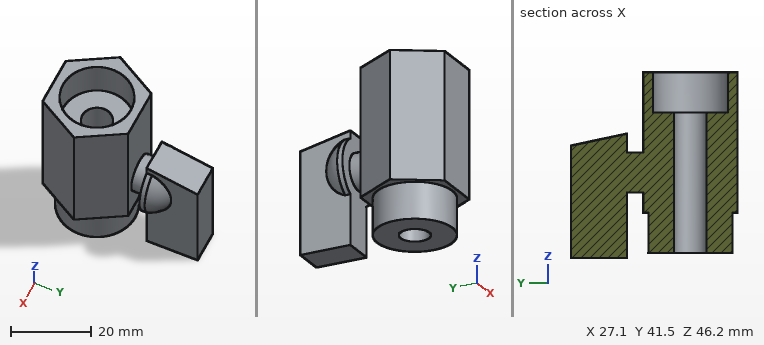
import cadquery as cq
import math

hex_corners = 27.15
hex_flat_radius = hex_corners / 2 * math.cos(math.pi / 6)
hex_height = 35.0

spigot_diameter = 21.0
spigot_height = 10.0

socket_diameter = 18.6
socket_depth = 10.0
passage_diameter = 8.0

overall_depth = 41.5
overall_height = 46.25
lever_width = 8.95
lever_thickness = 14.0
lever_near_height = 31
lever_far_height = 28.0
lever_far_y = overall_depth - hex_flat_radius
lever_near_y = lever_far_y - lever_thickness
spigot_bottom_z = -spigot_height
body_top_z = hex_height
lever_bottom_z = body_top_z - overall_height

stem_diameter = 10.0
stem_axis_z = 10.05
knob_radius = 8.8
knob_rim = 1.5
knob_length = 7.9


def make_body():
    body = cq.Workplane("XY").polygon(6, hex_corners).extrude(hex_height)
    spigot = cq.Workplane("XY").circle(spigot_diameter / 2).extrude(-spigot_height)
    return body.union(spigot)


def make_lever():
    profile = [
        (lever_near_y, lever_bottom_z),
        (lever_far_y, lever_bottom_z),
        (lever_far_y, lever_bottom_z + lever_far_height),
        (lever_near_y, lever_bottom_z + lever_near_height),
    ]
    return cq.Workplane("YZ").polyline(profile).close().extrude(lever_width / 2, both=True)


def make_stem():
    start_y = (passage_diameter / 2 + hex_flat_radius) / 2
    plane = cq.Workplane("XZ", origin=(0, start_y, stem_axis_z))
    return plane.circle(stem_diameter / 2).extrude(start_y - lever_near_y)


def make_knob():
    dome_height = knob_length - knob_rim
    dome_radius = (knob_radius**2 + dome_height**2) / (2 * dome_height)
    mid_radius = knob_radius / 2
    mid_y = knob_length - dome_radius + math.sqrt(dome_radius**2 - mid_radius**2)
    return (
        cq.Workplane("XY")
        .lineTo(knob_radius, 0)
        .lineTo(knob_radius, knob_rim)
        .threePointArc((mid_radius, mid_y), (0, knob_length))
        .close()
        .revolve(360, (0, 0, 0), (0, 1, 0))
        .translate((0, lever_near_y, stem_axis_z))
    )


def make_bore():
    passage = (
        cq.Workplane("XY", origin=(0, 0, spigot_bottom_z))
        .circle(passage_diameter / 2)
        .extrude(body_top_z - spigot_bottom_z)
    )
    socket = (
        cq.Workplane("XY", origin=(0, 0, body_top_z))
        .circle(socket_diameter / 2)
        .extrude(-socket_depth)
    )
    return passage.union(socket)


result = make_body().union(make_stem()).union(make_lever()).union(make_knob()).cut(make_bore())